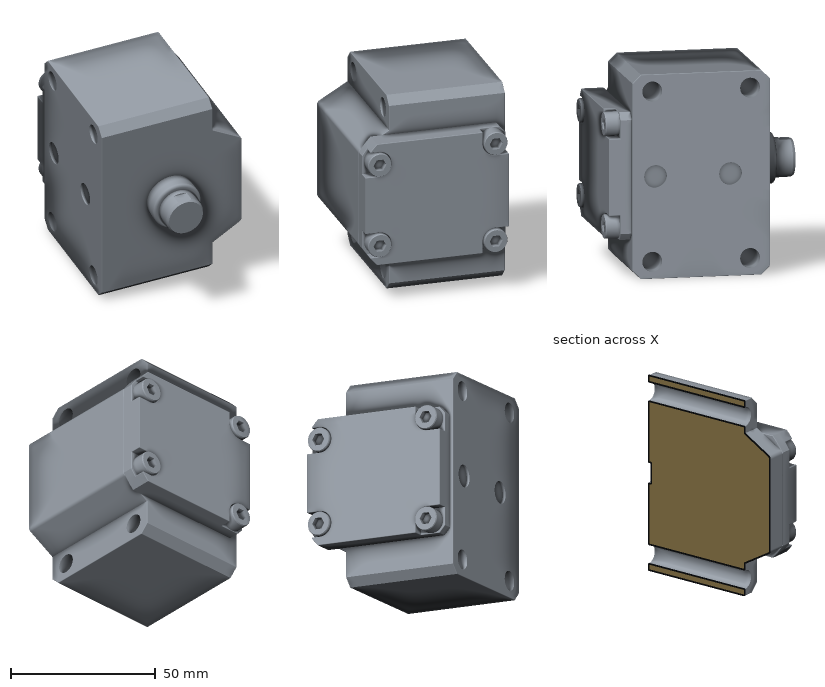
import cadquery as cq
import math

BLOCK_WIDTH = 48.6
BLOCK_DEPTH = 42.0
BLOCK_HEIGHT = 72.0
BLOCK_CHAMFER = 3.0
OVERALL_DEPTH = 53.0

EDGE_ROUND = 0.2

TOUCH_TOLERANCE = 0.01

BOSS_ROOT_HALF_HEIGHT = 24.0
BOSS_TAPER_ANGLE = 30.0
BOSS_FILLET = 1.5

MOUNT_HOLE_DIAMETER = 7.0
MOUNT_HOLE_X = 7.0
MOUNT_HOLE_PITCH_X = 34.55
MOUNT_HOLE_PITCH_Z = 60.0
RECESS_DIAMETER = 8.0
RECESS_DEPTH = 1.0
RECESS_X = 8.1
RECESS_PITCH_X = 26.5

COVER_THICKNESS = 8.0
COVER_FRONT_Y = 1.0
COVER_HEIGHT = 45.0
COVER_CORNER_DIAMETER = 64.0

HEAD_DIAMETER = 8.5
HEAD_HEIGHT = 5.0
HEAD_RIM_CHAMFER_LENGTH = 0.4
HEAD_RIM_CHAMFER_DEPTH = 0.2
HEAD_PROTRUSION = 1.0
SOCKET_ACROSS_FLATS = 4.0
SOCKET_DEPTH = 2.5
POCKET_DIAMETER = 9.0
FRONT_SCREW_Y = 6.0
FRONT_SCREW_Z = 18.1
REAR_SCREW_Y = 48.0
REAR_SCREW_Z = 15.0

CONNECTOR_Y = 26.0
FLANGE_DIAMETER = 18.0
FLANGE_LENGTH = 6.2
FLANGE_FILLET = 1.0
NECK_DIAMETER = 14.0
NECK_LENGTH = 6.9
NECK_CHAMFER_LENGTH = 1.0
NECK_CHAMFER_DEPTH = 0.6
NECK_FLATS_DISTANCE = 13.0
NECK_FLATS_START = 2.0

POCKET_RADIUS = POCKET_DIAMETER / 2
COVER_OUTER_X = -COVER_THICKNESS
HEAD_OUTER_X = COVER_OUTER_X - HEAD_PROTRUSION
POCKET_FLOOR_X = HEAD_OUTER_X + HEAD_HEIGHT
POCKET_DEPTH = POCKET_FLOOR_X - COVER_OUTER_X
FRONT_SCREWS = [(FRONT_SCREW_Y, side * FRONT_SCREW_Z) for side in (-1, 1)]
REAR_SCREWS = [(REAR_SCREW_Y, side * REAR_SCREW_Z) for side in (-1, 1)]


def plane_across_x(x):
    """Sketch plane with local axes Y and Z, and its normal along +X."""
    return cq.Workplane("YZ", origin=(x, 0, 0))


def box_between(x_range, y_range, z_range):
    """Box spanning the given ranges."""
    (x0, x1), (y0, y1), (z0, z1) = x_range, y_range, z_range
    return cq.Workplane("XY").box(x1 - x0, y1 - y0, z1 - z0, centered=False).translate((x0, y0, z0))


def make_boss():
    """Trapezoid-section boss, narrowing toward the rear with rounded rear edges."""
    reach = OVERALL_DEPTH - BLOCK_DEPTH
    tip_half_height = BOSS_ROOT_HALF_HEIGHT - reach * math.tan(math.radians(BOSS_TAPER_ANGLE))
    return (
        plane_across_x(0)
        .polyline([
            (BLOCK_DEPTH, -BOSS_ROOT_HALF_HEIGHT),
            (OVERALL_DEPTH, -tip_half_height),
            (OVERALL_DEPTH, tip_half_height),
            (BLOCK_DEPTH, BOSS_ROOT_HALF_HEIGHT),
        ])
        .close()
        .extrude(BLOCK_WIDTH)
        .faces(">Y").edges("|X").fillet(BOSS_FILLET)
    )


def make_block():
    """Chamfered block with its rear boss, mounting holes and front recesses."""
    body = (
        box_between((0, BLOCK_WIDTH), (0, BLOCK_DEPTH), (-BLOCK_HEIGHT / 2, BLOCK_HEIGHT / 2))
        .edges("|Y").chamfer(BLOCK_CHAMFER)
        .union(make_boss())
    )
    front_edges = body.faces("<Y").edges().vals()
    rear_edges = [
        edge for edge in body.edges("not |X").vals()
        if edge.Center().y > BLOCK_DEPTH - TOUCH_TOLERANCE
    ]
    end_edges = body.faces("<Z or >Z").edges("|X and >Y").vals()
    body = body.newObject(front_edges + rear_edges + end_edges).fillet(EDGE_ROUND)
    holes = (
        cq.Workplane("XZ")
        .center(MOUNT_HOLE_X + MOUNT_HOLE_PITCH_X / 2, 0)
        .rarray(MOUNT_HOLE_PITCH_X, MOUNT_HOLE_PITCH_Z, 2, 2)
        .circle(MOUNT_HOLE_DIAMETER / 2)
        .extrude(-OVERALL_DEPTH)
    )
    recesses = (
        cq.Workplane("XZ")
        .pushPoints([(RECESS_X, 0), (RECESS_X + RECESS_PITCH_X, 0)])
        .circle(RECESS_DIAMETER / 2)
        .extrude(-RECESS_DEPTH)
    )
    return body.cut(holes).cut(recesses)


def make_screw_pocket(y, z):
    """Round pocket for one screw head, open toward the nearest cover edges."""
    x_range = (COVER_OUTER_X, POCKET_FLOOR_X)
    pocket = plane_across_x(COVER_OUTER_X).center(y, z).circle(POCKET_RADIUS).extrude(POCKET_DEPTH)
    if y > BLOCK_DEPTH / 2:
        opening = box_between(x_range, (y, OVERALL_DEPTH), (z - POCKET_RADIUS, z + POCKET_RADIUS))
        return pocket.union(opening)
    inner_z = z - math.copysign(POCKET_RADIUS, z)
    edge_z = math.copysign(COVER_HEIGHT / 2, z)
    to_front = box_between(x_range, (0, y), sorted((inner_z, edge_z)))
    to_side = box_between(x_range, (0, y + POCKET_RADIUS), sorted((z, edge_z)))
    return pocket.union(to_front).union(to_side)


def is_on(edge, shapes):
    """Whether the middle of an edge lies on any of the given shapes."""
    middle = cq.Vertex.makeVertex(*edge.positionAt(0.5).toTuple())
    return any(middle.distance(shape) < TOUCH_TOLERANCE for shape in shapes)


def make_cover():
    """Rectangular cover with its corners cut by a circle, pockets for the screw heads and rounded edges."""
    blank = box_between(
        (COVER_OUTER_X, 0),
        (COVER_FRONT_Y, OVERALL_DEPTH),
        (-COVER_HEIGHT / 2, COVER_HEIGHT / 2),
    ).intersect(
        plane_across_x(COVER_OUTER_X)
        .center(CONNECTOR_Y, 0)
        .circle(COVER_CORNER_DIAMETER / 2)
        .extrude(COVER_THICKNESS)
    )
    cover = blank
    for y, z in FRONT_SCREWS + REAR_SCREWS:
        cover = cover.cut(make_screw_pocket(y, z))
    blunt_corners = blank.edges("|X").vals()
    sharp_edges = [
        edge for edge in cover.edges().vals()
        if is_on(edge, blank.faces().vals()) and not is_on(edge, blunt_corners)
    ]
    return cover.newObject(sharp_edges).fillet(EDGE_ROUND)


def make_screw(y, z):
    """Cap screw head resting on its pocket floor, with a hexagon socket."""
    head = (
        plane_across_x(HEAD_OUTER_X)
        .center(y, z)
        .circle(HEAD_DIAMETER / 2)
        .extrude(HEAD_HEIGHT)
        .faces("<X").edges().chamfer(HEAD_RIM_CHAMFER_LENGTH, HEAD_RIM_CHAMFER_DEPTH)
    )
    across_corners = SOCKET_ACROSS_FLATS / math.cos(math.pi / 6)
    socket = plane_across_x(HEAD_OUTER_X).center(y, z).polygon(6, across_corners).extrude(SOCKET_DEPTH)
    return head.cut(socket)


def make_connector():
    """Round flange and neck, with two wrench flats on the neck."""
    flange = (
        plane_across_x(BLOCK_WIDTH)
        .center(CONNECTOR_Y, 0)
        .circle(FLANGE_DIAMETER / 2)
        .extrude(FLANGE_LENGTH)
        .faces(">X").edges().fillet(FLANGE_FILLET)
    )
    neck_x = BLOCK_WIDTH + FLANGE_LENGTH
    end_x = neck_x + NECK_LENGTH
    neck = (
        plane_across_x(neck_x)
        .center(CONNECTOR_Y, 0)
        .circle(NECK_DIAMETER / 2)
        .extrude(NECK_LENGTH)
        .faces(">X").edges().chamfer(NECK_CHAMFER_LENGTH, NECK_CHAMFER_DEPTH)
    )
    radius = NECK_DIAMETER / 2
    for side in (-1, 1):
        neck = neck.cut(box_between(
            (neck_x + NECK_FLATS_START, end_x),
            (CONNECTOR_Y - radius, CONNECTOR_Y + radius),
            sorted((side * NECK_FLATS_DISTANCE / 2, side * NECK_DIAMETER)),
        ))
    return flange.union(neck)


block = make_block()
cover = make_cover()
screws = [make_screw(y, z) for y, z in FRONT_SCREWS + REAR_SCREWS]
connector = make_connector()

result = cq.Compound.makeCompound([
    block.val(),
    cover.val(),
    *[screw.val() for screw in screws],
    connector.val(),
])